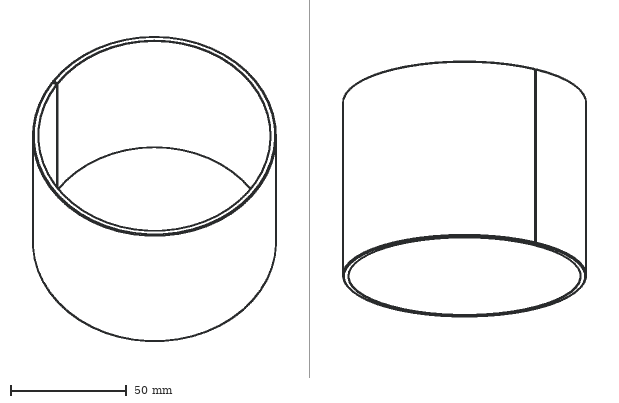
import cadquery as cq

outer_diameter = 105.0
wall = 2.5
height = 80.0
seam_angle = 1.0
outer_chamfer = 0.5
inner_chamfer = 0.2

outer_radius = outer_diameter / 2
inner_radius = outer_radius - wall

section = [
    (-inner_radius, inner_chamfer),
    (-inner_radius - inner_chamfer, 0),
    (-outer_radius + outer_chamfer, 0),
    (-outer_radius, outer_chamfer),
    (-outer_radius, height - outer_chamfer),
    (-outer_radius + outer_chamfer, height),
    (-inner_radius - inner_chamfer, height),
    (-inner_radius, height - inner_chamfer),
]

result = cq.Workplane("XZ").polyline(section).close().revolve(360 - seam_angle, (0, 0), (0, 1))